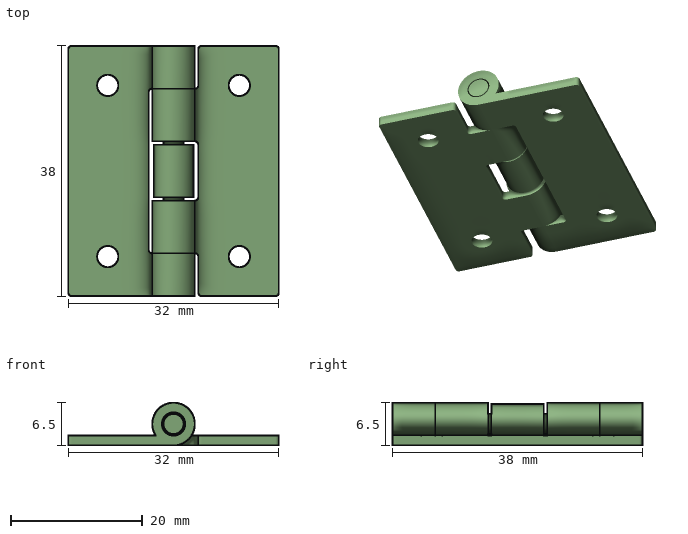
import cadquery as cq

hinge_length = 38.0
hinge_width = 32.0

knuckle_diameter = 6.5
bore_diameter = 3.5
pin_diameter = 3.1
sleeve_diameter = 6.08
axis_height = knuckle_diameter / 2
leaf_thickness = (knuckle_diameter - bore_diameter) / 2

end_knuckle_length = 6.5
inner_knuckle_length = 8.0
sleeve_gap = 0.5
half_length = hinge_length / 2
inner_knuckle_end = half_length - end_knuckle_length
inner_knuckle_start = inner_knuckle_end - inner_knuckle_length
sleeve_length = 2 * (inner_knuckle_start - sleeve_gap)

barrel_clearance = 0.5
corner_radius = 0.5
plate_inner_x = knuckle_diameter / 2 + barrel_clearance
plate_outer_x = hinge_width / 2

hole_diameter = 3.2
hole_spacing_x = 20.0
hole_spacing_y = 26.0


def barrel_cylinder(diameter, y_start, y_end):
    """Solid cylinder on the hinge axis between two Y positions."""
    return (
        cq.Workplane("XZ", origin=(0, y_start, axis_height))
        .circle(diameter / 2)
        .extrude(y_start - y_end)
    )


def plate_block(x_start, x_end, y_start, y_end):
    """Flat rectangle of leaf thickness standing on Z = 0."""
    size_x = x_end - x_start
    size_y = y_end - y_start
    return cq.Workplane("XY").box(size_x, size_y, leaf_thickness, centered=False).translate((x_start, y_start, 0))


def make_leaf(knuckle_spans):
    """Leaf on the +X side, with its knuckles at the given (start, end) spans along Y."""
    leaf = plate_block(plate_inner_x, plate_outer_x, -half_length, half_length)

    for y_start, y_end in knuckle_spans:
        leaf = leaf.union(plate_block(0, plate_inner_x, y_start, y_end))

    leaf = leaf.edges("|Z and (not <X)").fillet(corner_radius)

    for y_start, y_end in knuckle_spans:
        leaf = leaf.union(barrel_cylinder(knuckle_diameter, y_start, y_end))
    leaf = leaf.cut(barrel_cylinder(bore_diameter, -half_length, half_length))

    hole_centers = [(hole_spacing_x / 2, side * hole_spacing_y / 2) for side in (-1, 1)]
    holes = cq.Workplane("XY").pushPoints(hole_centers).circle(hole_diameter / 2).extrude(leaf_thickness)
    return leaf.cut(holes).solids()


def make_sleeve():
    """Loose tube around the pin in the middle of the barrel."""
    y_end = sleeve_length / 2
    tube = barrel_cylinder(sleeve_diameter, -y_end, y_end)
    return tube.cut(barrel_cylinder(bore_diameter, -y_end, y_end))


def make_pin():
    """Plain pin through the full length of the barrel."""
    return barrel_cylinder(pin_diameter, -half_length, half_length)


end_spans = [(-half_length, -inner_knuckle_end), (inner_knuckle_end, half_length)]
inner_spans = [(-inner_knuckle_end, -inner_knuckle_start), (inner_knuckle_start, inner_knuckle_end)]

left_leaf = make_leaf(end_spans).mirror("YZ").solids()
right_leaf = make_leaf(inner_spans)
sleeve = make_sleeve()
pin = make_pin()

result = cq.Compound.makeCompound([left_leaf.val(), right_leaf.val(), sleeve.val(), pin.val()])